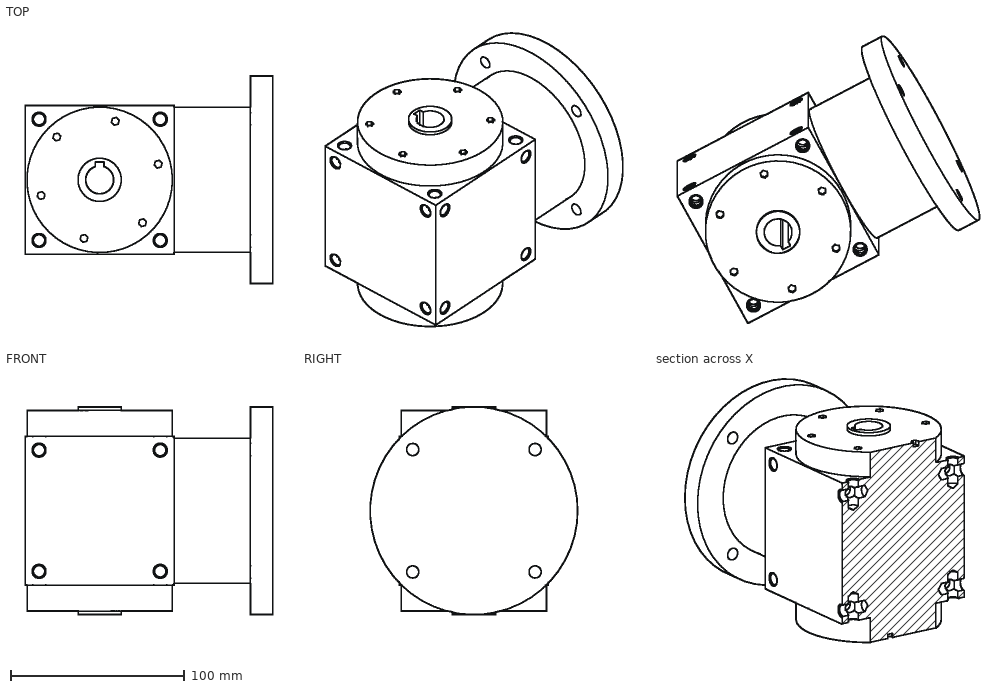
import cadquery as cq
import math


cube_size = 86.0
half_cube = cube_size / 2
cap_diameter = 84.0
cap_height = 15.0
cap_face_z = half_cube + cap_height

neck_diameter = cap_diameter
flange_diameter = 120.0
flange_thickness = 13.0
flange_face_x = 100.0
neck_length = flange_face_x - flange_thickness - half_cube
flange_hole_diameter = 7.0
flange_hole_circle = 100.0
flange_hole_count = 4
flange_hole_first_angle = 45.0

tapped_hole_spacing = 70.0
tapped_hole_diameter = 6.65
tapped_hole_mouth = 8.0
tapped_hole_depth = 16.0
drill_point_angle = 118.0

screw_head_diameter = 8.5
screw_head_height = 5.0
screw_circle_radius = 35.0
screw_count = 6
screw_first_angle = 15.0
socket_across_flats = 4.0
socket_depth = 2.5

shaft_diameter = 25.0
shaft_length = 120.0
shaft_bore = 16.0
keyway_width = 5.0
keyway_top = 10.3


def polar_points(radius, count, first_angle):
    """Evenly spaced points on a circle, as (x, y) pairs."""
    angles = [math.radians(first_angle + i * 360 / count) for i in range(count)]
    return [(radius * math.cos(a), radius * math.sin(a)) for a in angles]


def make_tapped_hole():
    """Cutter for a blind hole that enters at the origin and runs along -Z."""
    radius = tapped_hole_diameter / 2
    mouth_radius = tapped_hole_mouth / 2
    chamfer = mouth_radius - radius
    point_length = radius / math.tan(math.radians(drill_point_angle / 2))
    return (
        cq.Workplane("XZ")
        .moveTo(0, 0)
        .lineTo(mouth_radius, 0)
        .lineTo(radius, -chamfer)
        .lineTo(radius, -tapped_hole_depth)
        .lineTo(0, -tapped_hole_depth - point_length)
        .close()
        .revolve(360, (0, 0, 0), (0, 1, 0))
    )


def make_face_holes():
    """Four tapped-hole cutters in the top face of the cube."""
    half_spacing = tapped_hole_spacing / 2
    holes = cq.Workplane("XY")
    for x in (-half_spacing, half_spacing):
        for y in (-half_spacing, half_spacing):
            holes = holes.add(make_tapped_hole().translate((x, y, half_cube)))
    return holes.combine()


def make_body():
    """Cube, both caps, input neck and flange."""
    cube = cq.Workplane("XY").box(cube_size, cube_size, cube_size)
    caps = cq.Workplane("XY").circle(cap_diameter / 2).extrude(cap_face_z, both=True)
    neck = (
        cq.Workplane("YZ", origin=(half_cube, 0, 0))
        .circle(neck_diameter / 2)
        .extrude(neck_length)
    )
    flange = (
        cq.Workplane("YZ", origin=(flange_face_x - flange_thickness, 0, 0))
        .circle(flange_diameter / 2)
        .extrude(flange_thickness)
    )
    return cube.union(caps).union(neck).union(flange)


def cut_flange_holes(body):
    holes = (
        cq.Workplane("YZ", origin=(flange_face_x - flange_thickness, 0, 0))
        .pushPoints(polar_points(flange_hole_circle / 2, flange_hole_count, flange_hole_first_angle))
        .circle(flange_hole_diameter / 2)
        .extrude(flange_thickness)
    )
    return body.cut(holes)


def cut_tapped_holes(body):
    """Drill every cube face except the one carrying the input neck."""
    top_holes = make_face_holes()
    for angle in (0, 90, 180, 270):
        body = body.cut(top_holes.rotate((0, 0, 0), (1, 0, 0), angle))
    return body.cut(top_holes.rotate((0, 0, 0), (0, 1, 0), -90))


def make_cap_screws():
    """Screw heads of the upper cap and their hexagon sockets, each with a corner pointing outward."""
    points = polar_points(screw_circle_radius, screw_count, 0)
    heads = (
        cq.Workplane("XY", origin=(0, 0, cap_face_z - screw_head_height))
        .pushPoints(points)
        .circle(screw_head_diameter / 2)
        .extrude(screw_head_height)
    )
    socket_across_corners = socket_across_flats / math.cos(math.pi / 6)
    sockets = (
        cq.Workplane("XY", origin=(0, 0, cap_face_z - socket_depth))
        .pushPoints(points)
        .polygon(6, socket_across_corners)
        .extrude(socket_depth)
    )
    axis = ((0, 0, 0), (0, 0, 1))
    return heads.rotate(*axis, screw_first_angle), sockets.rotate(*axis, screw_first_angle)


def make_housing():
    housing = cut_tapped_holes(cut_flange_holes(make_body()))
    shaft_hole = (
        cq.Workplane("XY").circle(shaft_diameter / 2).extrude(cap_face_z, both=True)
    )
    housing = housing.cut(shaft_hole)

    top_heads, top_sockets = make_cap_screws()
    for angle in (0, 180):
        heads = top_heads.rotate((0, 0, 0), (1, 0, 0), angle)
        sockets = top_sockets.rotate((0, 0, 0), (1, 0, 0), angle)
        housing = housing.union(heads, clean=False).cut(sockets, clean=False)
    return housing


def make_shaft():
    """Hollow shaft with a keyway along its whole bore, on the +Y side."""
    keyway = (
        cq.Workplane("XY")
        .center(0, keyway_top / 2)
        .rect(keyway_width, keyway_top)
        .extrude(shaft_length / 2, both=True)
    )
    return (
        cq.Workplane("XY")
        .circle(shaft_diameter / 2)
        .circle(shaft_bore / 2)
        .extrude(shaft_length / 2, both=True)
        .cut(keyway)
    )


housing = make_housing()
shaft = make_shaft()

result = cq.Compound.makeCompound([housing.val(), shaft.val()])